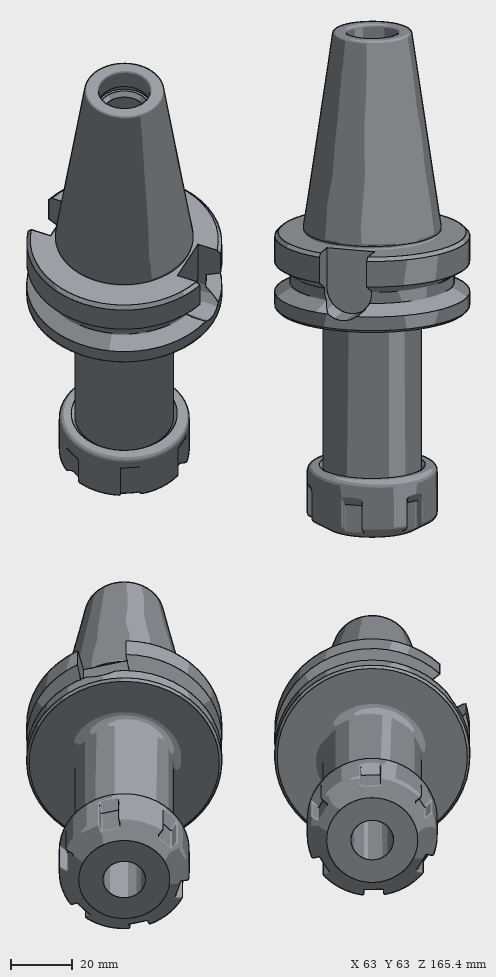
import cadquery as cq
import math

total_height = 165.4
gauge_height = 100.0
flange_top = 98.0
flange_bottom = 73.0
nut_top = 20.3

taper_large_diameter = 44.5
taper_ratio = 7 / 24
taper_edge_fillet = 1.0
taper_base_band = 0.7
neck_diameter = 42.8
neck_root_fillet = 0.5

flange_diameter = 63.0
flange_top_chamfer = 1.2
flange_bottom_chamfer = 0.8
groove_floor_diameter = 53.1
groove_floor_width = 4.3
groove_center_height = 83.4
groove_wall_angle = 30
groove_floor_fillet = 0.5

keyway_width = 16.0
keyway_bottom = 76.7
keyway_floor_offset = 22.5

shank_diameter = 32.0
shank_fillet = 3.0

nut_diameter = 42.0
nut_top_fillet = 2.2
nut_countersink = 1.2
nut_cone_height = 3.6
nut_cone_angle = 30
nut_cone_fillet = 1.7

wrench_slot_count = 6
wrench_slot_floor_offset = 18.0
wrench_slot_width = 6.3
short_slot_floor_height = 11.4
tall_slot_floor_height = 13.4
wrench_slot_top_angle = 45
wrench_slot_corner_fillet = 0.5
wrench_slot_rim_fillet = 0.5
tall_slot_angles = (0, 60, 300)

bore_diameter = 13.7
counterbore_diameter = 16.5
counterbore_depth = 8.6
counterbore_rim_fillet = 1.0
relief_height = 2.0
relief_depth = 0.8
counterbore_cone_angle = 45


def revolved(points):
    """Solid of revolution about Z from (radius, height) points."""
    return cq.Workplane("XZ").polyline(points).close().revolve(360, (0, 0), (0, 1))


def build_taper():
    large_radius = taper_large_diameter / 2
    small_radius = large_radius - taper_ratio * (total_height - gauge_height) / 2
    taper = revolved([
        (0, gauge_height - taper_base_band),
        (large_radius, gauge_height - taper_base_band),
        (large_radius, gauge_height),
        (small_radius, total_height),
        (0, total_height),
    ])
    taper = taper.faces(">Z").edges().fillet(taper_edge_fillet)
    neck_radius = neck_diameter / 2
    root_radius = neck_radius + neck_root_fillet
    neck = (
        cq.Workplane("XZ")
        .moveTo(0, flange_top)
        .lineTo(root_radius, flange_top)
        .radiusArc((neck_radius, flange_top + neck_root_fillet), neck_root_fillet)
        .lineTo(neck_radius, gauge_height)
        .lineTo(0, gauge_height)
        .close()
        .revolve(360, (0, 0), (0, 1))
    )
    return taper.union(neck)


def build_flange():
    outer_radius = flange_diameter / 2
    floor_radius = groove_floor_diameter / 2
    half_floor = groove_floor_width / 2
    half_mouth = half_floor + (outer_radius - floor_radius) * math.tan(math.radians(groove_wall_angle))
    flange = revolved([
        (0, flange_bottom),
        (outer_radius - flange_bottom_chamfer, flange_bottom),
        (outer_radius, flange_bottom + flange_bottom_chamfer),
        (outer_radius, groove_center_height - half_mouth),
        (floor_radius, groove_center_height - half_floor),
        (floor_radius, groove_center_height + half_floor),
        (outer_radius, groove_center_height + half_mouth),
        (outer_radius, flange_top - flange_top_chamfer),
        (outer_radius - flange_top_chamfer, flange_top),
        (0, flange_top),
    ])
    for floor_corner in (groove_center_height - half_floor, groove_center_height + half_floor):
        corner_edge = cq.selectors.NearestToPointSelector((0, 0, floor_corner))
        flange = flange.edges(corner_edge).fillet(groove_floor_fillet)
    for side in (-1, 1):
        flange = flange.cut(keyway_cutter(side))
    return flange


def keyway_cutter(side):
    """Round-bottomed slot, open to the flange top, on the +X or -X side."""
    half_width = keyway_width / 2
    return (
        cq.Workplane("YZ", origin=(side * keyway_floor_offset, 0, 0))
        .moveTo(-half_width, flange_top)
        .lineTo(-half_width, keyway_bottom + half_width)
        .threePointArc((0, keyway_bottom), (half_width, keyway_bottom + half_width))
        .lineTo(half_width, flange_top)
        .close()
        .extrude(side * flange_diameter / 2)
    )


def build_shank():
    """Cylinder with a concave fillet where it runs into the flange."""
    radius = shank_diameter / 2
    fillet_center = (radius + shank_fillet, flange_bottom - shank_fillet)
    fillet_mid = (
        fillet_center[0] - shank_fillet * math.cos(math.pi / 4),
        fillet_center[1] + shank_fillet * math.sin(math.pi / 4),
    )
    return (
        cq.Workplane("XZ")
        .moveTo(0, nut_cone_height)
        .lineTo(radius, nut_cone_height)
        .lineTo(radius, flange_bottom - shank_fillet)
        .threePointArc(fillet_mid, (radius + shank_fillet, flange_bottom))
        .lineTo(0, flange_bottom)
        .close()
        .revolve(360, (0, 0), (0, 1))
    )


def build_nut():
    outer_radius = nut_diameter / 2
    face_radius = outer_radius - nut_cone_height / math.tan(math.radians(nut_cone_angle))
    nut = revolved([
        (0, 0),
        (face_radius, 0),
        (outer_radius, nut_cone_height),
        (outer_radius, nut_top),
        (0, nut_top),
    ])
    nut = nut.faces(">Z").edges().fillet(nut_top_fillet)
    cone_rim = cq.selectors.NearestToPointSelector((0, 0, nut_cone_height))
    nut = nut.edges(cone_rim).fillet(nut_cone_fillet)

    nut = nut.rotate((0, 0, 0), (0, 0, 1), 180 / wrench_slot_count)

    shank_radius = shank_diameter / 2
    countersink = revolved([
        (0, nut_top - nut_countersink),
        (shank_radius, nut_top - nut_countersink),
        (shank_radius + nut_countersink, nut_top),
        (0, nut_top),
    ])
    nut = nut.cut(countersink)

    for index in range(wrench_slot_count):
        angle = index * 360 / wrench_slot_count
        is_tall = angle in tall_slot_angles
        floor_height = tall_slot_floor_height if is_tall else short_slot_floor_height
        nut = nut.cut(wrench_slot_cutter(floor_height).rotate((0, 0, 0), (0, 0, 1), angle))
    side_edges = nut.edges("|Z").filter(is_wrench_slot_rim)
    return side_edges.fillet(wrench_slot_rim_fillet)


def is_wrench_slot_rim(edge):
    """True for the upright edges where slot sides meet the nut's outer cylinder."""
    center = edge.Center()
    rim_tolerance = 0.2
    on_rim = math.hypot(center.x, center.y) > nut_diameter / 2 - rim_tolerance
    return on_rim and center.z < short_slot_floor_height


def wrench_slot_cutter(floor_height):
    """Slot on the +X side, open at the nut face, with a sloping top end."""
    depth = nut_diameter / 2 - wrench_slot_floor_offset + wrench_slot_rim_fillet
    mouth_height = floor_height + depth * math.tan(math.radians(wrench_slot_top_angle))
    cutter = (
        cq.Workplane("XZ", origin=(wrench_slot_floor_offset, 0, 0))
        .polyline([(0, 0), (depth, 0), (depth, mouth_height), (0, floor_height)])
        .close()
        .extrude(wrench_slot_width / 2, both=True)
    )
    return cutter.faces("<X or (>Z and (not >X))").edges("not |Y").fillet(wrench_slot_corner_fillet)


def bore_cutter():
    bore_radius = bore_diameter / 2
    counterbore_radius = counterbore_diameter / 2
    counterbore_floor = total_height - counterbore_depth
    cone_drop = (counterbore_radius - bore_radius) * math.tan(math.radians(counterbore_cone_angle))
    rim_start = total_height - counterbore_rim_fillet
    relief_radius = counterbore_radius + relief_depth
    rim_radius = counterbore_radius + counterbore_rim_fillet
    rim_mid = (
        rim_radius - counterbore_rim_fillet * math.cos(math.pi / 4),
        rim_start + counterbore_rim_fillet * math.sin(math.pi / 4),
    )
    return (
        cq.Workplane("XZ")
        .lineTo(bore_radius, 0)
        .lineTo(bore_radius, counterbore_floor - cone_drop)
        .lineTo(counterbore_radius, counterbore_floor)
        .lineTo(relief_radius, counterbore_floor)
        .lineTo(relief_radius, counterbore_floor + relief_height)
        .lineTo(counterbore_radius, counterbore_floor + relief_height)
        .lineTo(counterbore_radius, rim_start)
        .threePointArc(rim_mid, (rim_radius, total_height))
        .lineTo(0, total_height)
        .close()
        .revolve(360, (0, 0), (0, 1))
    )


result = (
    build_nut()
    .union(build_shank())
    .union(build_flange())
    .union(build_taper())
    .cut(bore_cutter())
)